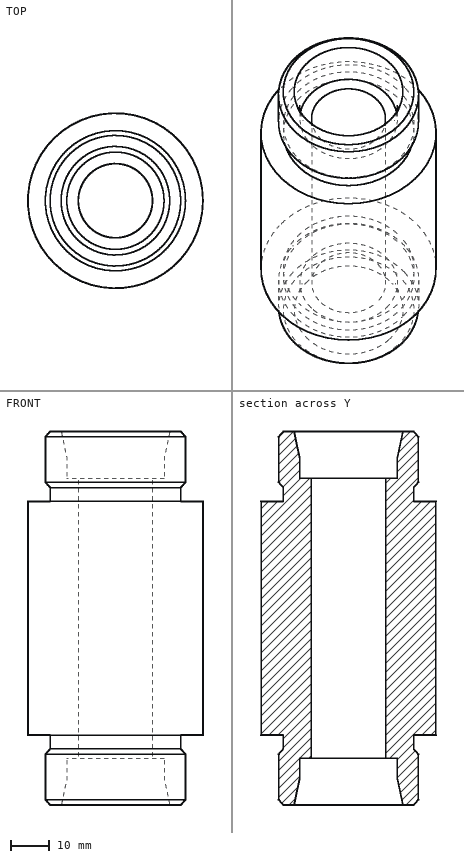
import cadquery as cq
import math

body_diameter = 45.0
body_length = 60.0
overall_length = 96.0

thread_diameter = 36.0
undercut_diameter = 33.55
undercut_width = 3.5
chamfer_height = 1.4
chamfer_depth = (thread_diameter - undercut_diameter) / 2

bore_diameter = 19.0
socket_diameter = 25.0
socket_depth = 12.0
mouth_diameter = 27.9
cone_angle = 24.0
cone_depth = (mouth_diameter - socket_diameter) / 2 / math.tan(math.radians(cone_angle / 2))

half_length = overall_length / 2


def upper_outline():
    """(radius, z) corners above the mid-plane, from the body edge up and down into the socket floor."""
    body_end = body_length / 2
    thread_start = body_end + undercut_width
    tip_radius = thread_diameter / 2 - chamfer_depth
    return [
        (body_diameter / 2, body_end),
        (undercut_diameter / 2, body_end),
        (undercut_diameter / 2, thread_start),
        (thread_diameter / 2, thread_start + chamfer_height),
        (thread_diameter / 2, half_length - chamfer_height),
        (tip_radius, half_length),
        (mouth_diameter / 2, half_length),
        (socket_diameter / 2, half_length - cone_depth),
        (socket_diameter / 2, half_length - socket_depth),
        (bore_diameter / 2, half_length - socket_depth),
    ]


def fitting():
    """Wall section, symmetric about the mid-plane, revolved about Z."""
    upper = upper_outline()
    lower = [(radius, -z) for radius, z in reversed(upper)]
    section = cq.Workplane("XZ").polyline(upper + lower).close()
    return section.revolve(360, (0, 0), (0, 1))


result = fitting()